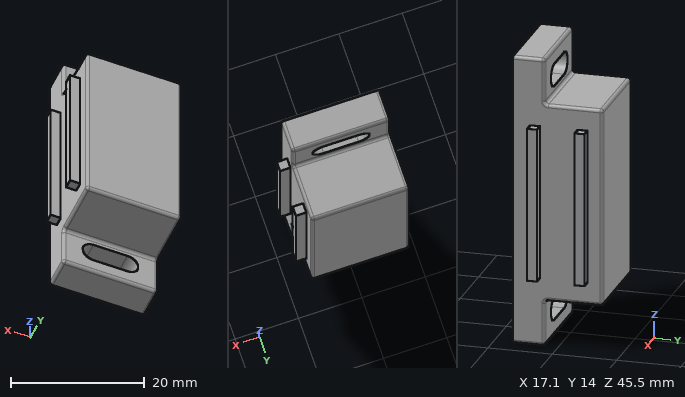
import cadquery as cq

length = 45.5
width = 15.45
flange_thickness = 5.0
depth = 14.0
block_length = 31.1
edge_radius = 0.5

slot_length = 9.0
slot_width = 3.5
slot_spacing = 37.05

strip_projection = 1.65
strip_thickness = 1.5
strip_length = 24.05
strip_spacing = 7.35
first_strip_y = 3.45

mid_z = length / 2


def box_from_front(size_x, size_y, size_z):
    """Box centred on the part in Z, starting at X = 0 and Y = 0."""
    base = cq.Workplane("XY", origin=(0, 0, mid_z))
    return base.box(size_x, size_y, size_z, centered=(False, False, True))


def make_housing():
    """T-shaped housing, rounded everywhere except around the flat front face."""
    flange = box_from_front(width, flange_thickness, length)
    block = box_from_front(width, depth, block_length)
    return flange.union(block).edges("not(<Y)").fillet(edge_radius)


def make_slots():
    """Slot cutters passing through both ends of the flange."""
    return (
        cq.Workplane("XZ", origin=(width / 2, 0, mid_z))
        .rarray(0.45, slot_spacing, 1, 2)
        .slot2D(slot_length, slot_width)
        .extrude(-flange_thickness)
    )


def make_strip(center_y):
    """Contact strip rooted inside the housing so that it joins solidly."""
    strip = box_from_front(width / 2 + strip_projection, strip_thickness, strip_length)
    return strip.translate((width / 2, center_y - strip_thickness / 2, 0))


result = make_housing().cut(make_slots())
for strip_index in range(2):
    result = result.union(make_strip(first_strip_y + strip_index * strip_spacing))